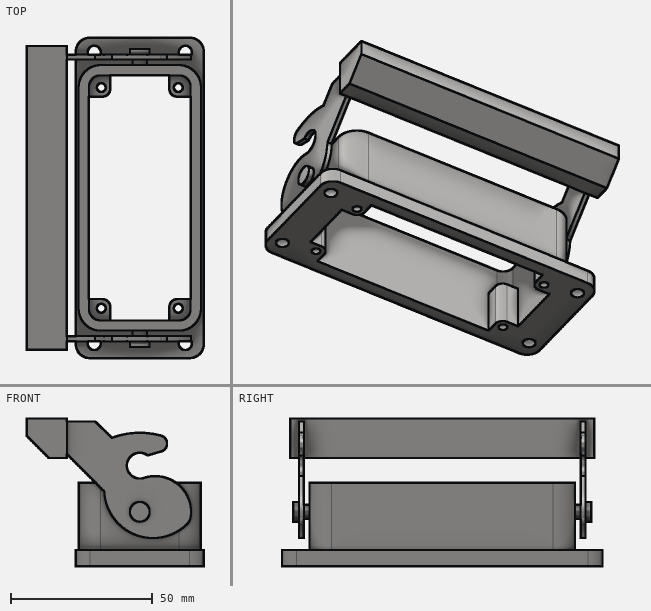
import cadquery as cq
import math

flange_width = 45.2
flange_length = 113.0
flange_height = 5.8
flange_corner_radius = 5.1
mount_hole_diameter = 4.5
mount_hole_x = 16.0
mount_hole_y = 51.3

housing_width = 43.0
housing_length = 93.6
housing_top = 29.5
housing_corner_radius = 7.7
wall = 3.6
cavity_width = housing_width - 2 * wall
cavity_length = housing_length - 2 * wall
cavity_corner_radius = housing_corner_radius - wall

lug_size = 7.6
lug_top = 17.3
lug_corner_radius = 2.9
lug_hole_diameter = 3.0
lug_hole_x = 13.6
lug_hole_y = 38.9

pivot_z = 19.2
pin_diameter = 5.1
pin_head_diameter = 7.0
pin_end_y = 52.5

bar_length = 107.1
bar_width = 14.2
bar_height = 14.0
bar_chamfer = 7.9
bar_top = 52.1
overall_width = 62.5
bar_left = flange_width / 2 - overall_width
bar_right = bar_left + bar_width

arm_outer_y = 50.5
arm_thickness = 1.8
arm_inner_y = arm_outer_y - arm_thickness
arm_top = 51.1
shoulder_x = -15.7
hook_radius = 27.9
hook_start_x = -9.8
tip_radius = 2.9
tip_angle = 74.4
slot_radius = 4.5
slot_z = 35.5
slot_start_angle = 52.0
cam_x = 5.4
heel_x = 4.6
heel_z = 27.1
heel_radius = 17.2
heel_start_angle = 182.5
cam_corner_radius = 4.5


def polar(center, radius, degrees):
    angle = math.radians(degrees)
    return center[0] + radius * math.cos(angle), center[1] + radius * math.sin(angle)


def direction(start, end):
    return math.degrees(math.atan2(end[1] - start[1], end[0] - start[0]))


def rounded_block(width, length, height, radius):
    block = cq.Workplane("XY").box(width, length, height, centered=(True, True, False))
    return block.edges("|Z").fillet(radius)


def corner_points(x, y):
    return [(side_x * x, side_y * y) for side_x in (-1, 1) for side_y in (-1, 1)]


def lug_posts():
    clear_width = cavity_width - 2 * lug_size
    clear_length = cavity_length - 2 * lug_size
    posts = None
    for side_x, side_y in corner_points(1, 1):
        post = (
            cq.Workplane("XY")
            .box(lug_size, lug_size, lug_top, centered=(True, True, False))
            .translate((side_x * (clear_width + lug_size) / 2, side_y * (clear_length + lug_size) / 2, 0))
        )
        facing_point = (side_x * clear_width / 2, side_y * clear_length / 2, lug_top / 2)
        facing_edge = cq.selectors.NearestToPointSelector(facing_point)
        post = post.edges("|Z").edges(facing_edge).fillet(lug_corner_radius)
        posts = post if posts is None else posts.union(post)
    return posts


def housing():
    body = rounded_block(flange_width, flange_length, flange_height, flange_corner_radius)
    body = body.union(rounded_block(housing_width, housing_length, housing_top, housing_corner_radius))
    cavity = rounded_block(cavity_width, cavity_length, housing_top, cavity_corner_radius)
    posts = lug_posts().intersect(cavity)
    body = body.cut(cavity).union(posts)

    lug_holes = (
        cq.Workplane("XY")
        .pushPoints(corner_points(lug_hole_x, lug_hole_y))
        .circle(lug_hole_diameter / 2)
        .extrude(lug_top)
    )
    mount_holes = (
        cq.Workplane("XY")
        .pushPoints(corner_points(mount_hole_x, mount_hole_y))
        .circle(mount_hole_diameter / 2)
        .extrude(flange_height)
    )
    return body.cut(lug_holes).cut(mount_holes)


def handle_bar():
    bottom = bar_top - bar_height
    outline = [
        (bar_left, bar_top),
        (bar_right, bar_top),
        (bar_right, bottom),
        (bar_left + bar_chamfer, bottom),
        (bar_left, bottom + bar_chamfer),
    ]
    return cq.Workplane("XZ").polyline(outline).close().extrude(bar_length / 2, both=True)


def side_arm():
    pivot = (0, pivot_z)
    slot = (0, slot_z)
    cam = (cam_x, pivot_z)
    heel = (heel_x, heel_z)

    hook_start = (hook_start_x, pivot_z + math.sqrt(hook_radius**2 - hook_start_x**2))
    hook_start_angle = direction(pivot, hook_start)
    hook_middle = polar(pivot, hook_radius, (hook_start_angle + tip_angle) / 2)
    hook_end = polar(pivot, hook_radius, tip_angle)
    tip = polar(pivot, hook_radius - tip_radius, tip_angle)
    slot_start = polar(slot, slot_radius, slot_start_angle)
    tangent_angle = math.degrees(math.acos(tip_radius / math.dist(tip, slot_start)))
    tip_end_angle = direction(tip, slot_start) + tangent_angle
    tip_middle = polar(tip, tip_radius, (tip_angle + tip_end_angle) / 2)
    tip_end = polar(tip, tip_radius, tip_end_angle)

    cam_radius = math.dist(slot, cam) - slot_radius
    slot_end = polar(slot, slot_radius, direction(slot, cam))

    spacing = math.dist(cam, heel)
    corner_cosine = (cam_radius**2 + spacing**2 - heel_radius**2) / (2 * cam_radius * spacing)
    corner_angle = direction(cam, heel) - math.degrees(math.acos(corner_cosine))
    cam_corner = polar(cam, cam_radius, corner_angle)
    cam_middle = polar(cam, cam_radius, (direction(cam, slot) + corner_angle) / 2)
    heel_start = polar(heel, heel_radius, heel_start_angle)
    heel_middle = polar(heel, heel_radius, -90)

    arm = (
        cq.Workplane("XZ", origin=(0, -arm_inner_y, 0))
        .moveTo(bar_right, arm_top)
        .lineTo(shoulder_x, arm_top)
        .lineTo(*hook_start)
        .threePointArc(hook_middle, hook_end)
        .threePointArc(tip_middle, tip_end)
        .lineTo(*slot_start)
        .threePointArc((-slot_radius, slot_z), slot_end)
        .threePointArc(cam_middle, cam_corner)
        .threePointArc(heel_middle, heel_start)
        .lineTo(bar_right, heel_start[1] + heel_start[0] - bar_right)
        .close()
        .extrude(arm_thickness)
    )
    corner_point = (cam_corner[0], -(arm_inner_y + arm_outer_y) / 2, cam_corner[1])
    corner_edge = cq.selectors.NearestToPointSelector(corner_point)
    return arm.edges("|Y").edges(corner_edge).fillet(cam_corner_radius)


def pivot_pin():
    housing_face = cq.Workplane("XZ", origin=(0, -housing_length / 2, 0)).center(0, pivot_z)
    shaft = housing_face.circle(pin_diameter / 2).extrude(arm_outer_y - housing_length / 2)
    arm_face = cq.Workplane("XZ", origin=(0, -arm_outer_y, 0)).center(0, pivot_z)
    head = arm_face.circle(pin_head_diameter / 2).extrude(pin_end_y - arm_outer_y)
    return shaft.union(head)


lever_side = side_arm().union(pivot_pin())
result = (
    housing()
    .union(handle_bar())
    .union(lever_side)
    .union(lever_side.mirror("XZ"))
)